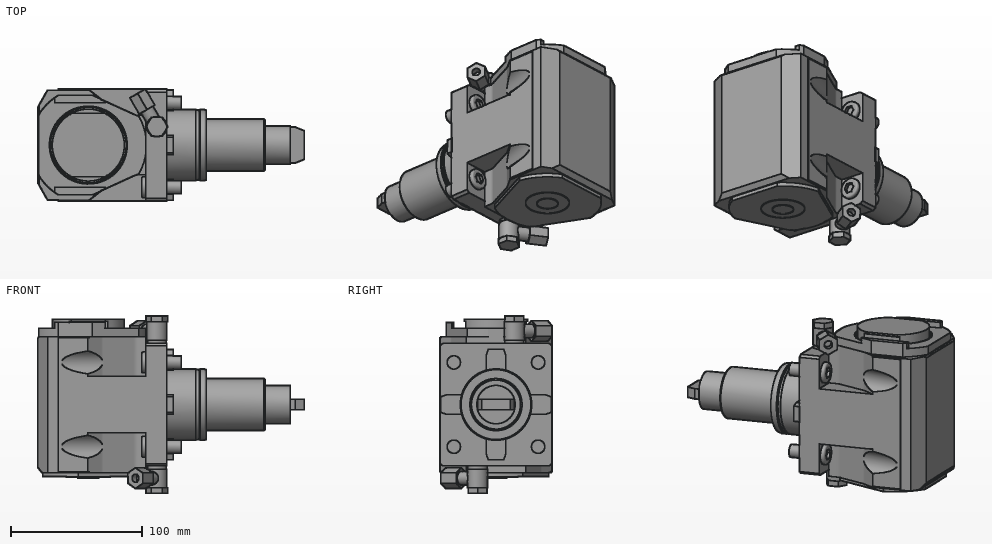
import cadquery as cq
import math


overall_width = 85.5
overall_height = 135.0

front_x = -98.5
bore_x = -59.9
body_half_height = 51.8
pad_thickness = 0.8
pad_y = overall_width / 2
side_y = pad_y - pad_thickness
pad_start_x = -82.6
pad_half_height = 51.0
front_half_width = 28.6
shoulder_x = -91.0
waist_x = -60.3
waist_end_x = -49.3
waist_end_y = 34.3
neck_x = -24.0
neck_y = 22.7
waist_fillet = 7.0
web_half_height = 43.2 / 2
bottom_bevel_depth = 3.0
bottom_bevel_height = 4.0
top_bevel = 1.2

flange_thickness = 16.0
flange_half_height = 46.7
flange_bevel_y = 2.5
flange_bevel_z = 1.8
bolt_offset = 32.0
bolt_head_radius = 16.0 / 2
bolt_head_height = 3.2
bolt_head_fillet = 1.5
bolt_socket = 8.5
bolt_socket_depth = 2.5
bolt_radius = 5.0
bolt_end_x = 11.0
key_half_width = 7.5
key_reach = 42.0
key_height = 4.9
key_tip_half_width = 5.9
key_taper_length = 4.7

groove_radius = 9.7
groove_start_x = -80.2
groove_end_x = -47.7
groove_end_y = 33.7

collar_radius = 27.2
collar_end_x = 30.0
collar_step_x = 22.0
collar_step_depth = 0.5
collar_groove_x = 24.4
collar_groove_width = 0.8
collar_groove_depth = 1.2
collar_bevel = 0.6
collar_bevel_length = 2.0
shank_radius = 19.9
shank_end_x = 75.0
shank_bevel = 1.2
pilot_radius = 14.6
pilot_end_x = 94.0
tang_end_x = 104.5
tang_half_thickness = 4.0
tang_straight_x = 97.5
tang_half_width = 13.8
tang_tip_half_width = 11.0

cover_radius = 44.3
cover_front_x = -97.6
cover_half_width = 38.0
cover_overhang = 0.2
cover_top_z = 58.3
lug_top_z = 62.5
lug_inner_y = 32.3
lug_front_x = -85.5
lug_back_x = -47.0
ring_outer_radius = 29.6
ring_depth = 1.6
ring_bevel = 0.8
boss_radius = 27.5
boss_top_z = 65.0
boss_lip_z = 63.3
boss_half_width = 24.2
boss_waist_half_width = 23.1
bottom_cover_radius = 41.0
bottom_cover_front_x = -94.5
bottom_cover_z = -54.8
bottom_cover_inset = 2.5
disc_radius = 16.6
disc_thickness = 0.6
hub_radius = 8.1
hub_thickness = 1.2

fitting_x = -7.7
fitting_y = 14.0
fitting_radius = 7.7
fitting_thread_radius = 7.3
fitting_thread_z = 49.1
fitting_cap_z = 63.1
fitting_top_z = overall_height / 2
fitting_cap_corners = 16.6
outlet_z = 56.0
top_outlet_angle = 120
bottom_outlet_angle = 124
outlet_radius = 5.3
nut_start = 15.0
nut_end = 29.2
nut_corners = 15.8
nut_hole_radius = 3.0
nut_hole_depth = 6.0


def box(x0, x1, y0, y1, z0, z1):
    return cq.Workplane("XY").box(x1 - x0, y1 - y0, z1 - z0, centered=False).translate((x0, y0, z0))


def rod(radius, x0, x1, y=0, z=0):
    return cq.Workplane("YZ", origin=(x0, y, z)).circle(radius).extrude(x1 - x0)


def disc(radius, z0, z1):
    return cq.Workplane("XY", origin=(bore_x, 0, z0)).circle(radius).extrude(z1 - z0)


def prism(half_outline, z0, z1):
    """Extrude an outline symmetric about Y = 0, given by its +Y points."""
    mirrored = [(x, -y) for x, y in reversed(half_outline)]
    return cq.Workplane("XY", origin=(0, 0, z0)).polyline(half_outline + mirrored).close().extrude(z1 - z0)


def housing_prism(front, half_height):
    """Prism over the given front points, with a waist that narrows to the flange in rounded steps."""
    tail = [(waist_end_x, waist_end_y), (neck_x, neck_y), (-flange_thickness, neck_y)]
    rounded = cq.selectors.BoxSelector(
        (waist_end_x - waist_fillet, -pad_y, -body_half_height),
        (neck_x + waist_fillet, pad_y, body_half_height),
    )
    return prism(front + tail, -half_height, half_height).edges("|Z").edges(rounded).fillet(waist_fillet)


def front_edge_cut(level, depth, height):
    """Wedge that bevels the upper (level 1) or lower (level -1) edge of the front face."""
    edge_z = level * body_half_height
    wedge = [(front_x, edge_z - level * height), (front_x + depth, edge_z), (front_x, edge_z)]
    return cq.Workplane("XZ", origin=(0, pad_y, 0)).polyline(wedge).close().extrude(2 * pad_y)


def make_housing():
    waist_run = (waist_end_x - waist_x) / (pad_y - waist_end_y)
    side_end_x = waist_x + waist_run * (pad_y - side_y)
    core_front = [(front_x, front_half_width), (shoulder_x, side_y), (side_end_x, side_y)]
    core = housing_prism(core_front, body_half_height)
    pad = housing_prism([(pad_start_x, pad_y), (waist_x, pad_y)], pad_half_height)
    web = box(waist_x, -flange_thickness, -pad_y, pad_y, -web_half_height, web_half_height)
    housing = core.union(pad).union(web)

    bottom_cut = front_edge_cut(-1, bottom_bevel_depth, bottom_bevel_height)
    top_cut = front_edge_cut(1, top_bevel, top_bevel)
    return housing.cut(bottom_cut).cut(top_cut)


def make_access_groove(side, z):
    """Slanted cylinder whose deepest line runs from the side face into the waist."""
    run = groove_end_x - groove_start_x
    drop = pad_y - groove_end_y
    length = math.hypot(run, drop)
    along = (run / length, -side * drop / length)
    outward = (drop / length, side * run / length)
    start = (
        groove_start_x + groove_radius * outward[0] - length * along[0],
        side * pad_y + groove_radius * outward[1] - length * along[1],
        z,
    )
    cutter = cq.Solid.makeCylinder(groove_radius, 3 * length, cq.Vector(*start), cq.Vector(*along, 0))
    return cq.Workplane(cutter)


def make_flange():
    straight_y = pad_y - flange_bevel_y
    straight_z = flange_half_height - flange_bevel_z
    return (
        cq.Workplane("YZ", origin=(-flange_thickness, 0, 0))
        .polyline([
            (-pad_y, -straight_z), (-straight_y, -flange_half_height),
            (straight_y, -flange_half_height), (pad_y, -straight_z),
            (pad_y, straight_z), (straight_y, flange_half_height),
            (-straight_y, flange_half_height), (-pad_y, straight_z),
        ])
        .close()
        .extrude(flange_thickness)
    )


def make_bolt(y, z):
    head_x = -flange_thickness - bolt_head_height
    head = rod(bolt_head_radius, head_x, -flange_thickness, y, z).faces("<X").fillet(bolt_head_fillet)
    socket = cq.Workplane("YZ", origin=(head_x, y, z)).polygon(6, bolt_socket).extrude(bolt_socket_depth)
    return head.cut(socket).union(rod(bolt_radius, -flange_thickness, bolt_end_x, y, z))


def make_keys():
    """Four driving keys with tapered tips, set crosswise around the collar."""
    taper_y = key_reach - key_taper_length
    bar = (
        cq.Workplane("YZ")
        .polyline([
            (-taper_y, -key_half_width), (taper_y, -key_half_width),
            (key_reach, -key_tip_half_width), (key_reach, key_tip_half_width),
            (taper_y, key_half_width), (-taper_y, key_half_width),
            (-key_reach, key_tip_half_width), (-key_reach, -key_tip_half_width),
        ])
        .close()
        .extrude(key_height)
    )
    return bar.union(bar.rotate((0, 0, 0), (1, 0, 0), 90))


def make_shank():
    step_radius = collar_radius - collar_step_depth
    groove_floor = collar_radius - collar_groove_depth
    groove_far_x = collar_groove_x + collar_groove_width
    profile = [
        (0, 0), (0, collar_radius),
        (collar_step_x, collar_radius), (collar_step_x, step_radius),
        (collar_groove_x, step_radius), (collar_groove_x, groove_floor),
        (groove_far_x, groove_floor), (groove_far_x, collar_radius),
        (collar_end_x - collar_bevel_length, collar_radius), (collar_end_x, collar_radius - collar_bevel),
        (collar_end_x, shank_radius),
        (shank_end_x - shank_bevel, shank_radius), (shank_end_x, shank_radius - shank_bevel),
        (shank_end_x, pilot_radius), (pilot_end_x, pilot_radius), (pilot_end_x, 0),
    ]
    shank = cq.Workplane("XY").polyline(profile).close().revolve(360, (0, 0, 0), (1, 0, 0))
    tang_outline = [
        (pilot_end_x, tang_half_width), (tang_straight_x, tang_half_width),
        (tang_end_x, tang_tip_half_width),
    ]
    return shank.union(prism(tang_outline, -tang_half_thickness, tang_half_thickness))


def cover_plate(radius, plate_front_x, half_width, overhang, z0, z1):
    """Disc around the bore, trimmed at the front, the sides and parallel to the housing waist."""
    slope = (waist_end_y - neck_y) / (waist_end_x - neck_x)
    line_y = waist_end_y + overhang
    taper_x = waist_end_x + (half_width - line_y) / slope
    end_y = line_y + slope * (-flange_thickness - waist_end_x)
    trim = [(plate_front_x, half_width), (taper_x, half_width), (-flange_thickness, end_y)]
    return disc(radius, z0, z1).intersect(prism(trim, z0, z1))


def cover_slab(z0, z1):
    return cover_plate(cover_radius, cover_front_x, cover_half_width, cover_overhang, z0, z1)


def make_top_cover():
    lugs = cover_slab(cover_top_z, lug_top_z)
    lugs = lugs.intersect(box(lug_front_x, lug_back_x, -pad_y, pad_y, cover_top_z, lug_top_z))
    lugs = lugs.cut(box(lug_front_x, lug_back_x, -lug_inner_y, lug_inner_y, cover_top_z, lug_top_z))

    recess_floor_z = cover_top_z - ring_depth
    recess_radius = ring_outer_radius - ring_bevel
    recess = disc(recess_radius, recess_floor_z, cover_top_z)
    mouth_base = cq.Vector(bore_x, 0, cover_top_z - ring_bevel)
    recess_mouth = cq.Solid.makeCone(recess_radius, ring_outer_radius, ring_bevel, mouth_base)
    cover = cover_slab(body_half_height, cover_top_z).cut(recess).cut(cq.Workplane(recess_mouth)).union(lugs)

    base = disc(boss_radius, recess_floor_z, cover_top_z)
    waist = disc(boss_radius, cover_top_z, boss_lip_z).intersect(
        box(front_x, 0, -boss_waist_half_width, boss_waist_half_width, cover_top_z, boss_lip_z)
    )
    lip = disc(boss_radius, boss_lip_z, boss_top_z).intersect(
        box(front_x, 0, -boss_half_width, boss_half_width, boss_lip_z, boss_top_z)
    )
    return cover.union(base).union(waist).union(lip)


def make_bottom_cover():
    cover = cover_plate(
        bottom_cover_radius, bottom_cover_front_x, bottom_cover_radius, -bottom_cover_inset,
        bottom_cover_z, -body_half_height,
    )
    return (
        cover
        .union(disc(disc_radius, bottom_cover_z - disc_thickness, bottom_cover_z))
        .union(disc(hub_radius, bottom_cover_z - hub_thickness, bottom_cover_z))
    )


def make_fitting(outlet_angle):
    """Coolant elbow on the top edge of the flange, with a hexagonal cap and an outlet nut."""
    def column(z):
        return cq.Workplane("XY", origin=(fitting_x, fitting_y, z))

    thread_length = fitting_thread_z - flange_half_height
    thread = column(flange_half_height).circle(fitting_thread_radius).extrude(thread_length)
    post = column(fitting_thread_z).circle(fitting_radius).extrude(fitting_cap_z - fitting_thread_z)
    cap = column(fitting_cap_z).polygon(6, fitting_cap_corners).extrude(fitting_top_z - fitting_cap_z)

    angle = math.radians(outlet_angle)
    along = cq.Vector(math.cos(angle), math.sin(angle), 0)
    center = cq.Vector(fitting_x, fitting_y, outlet_z)

    def outlet_plane(distance):
        return cq.Workplane(cq.Plane(origin=center + along * distance, xDir=(0, 0, 1), normal=along))

    neck = outlet_plane(0).circle(outlet_radius).extrude(nut_start)
    nut = outlet_plane(nut_start).polygon(6, nut_corners).extrude(nut_end - nut_start)
    hole = outlet_plane(nut_end - nut_hole_depth).circle(nut_hole_radius).extrude(nut_hole_depth)
    return thread.union(post).union(cap).union(neck).union(nut).cut(hole)


result = make_housing()
for side in (1, -1):
    for level in (1, -1):
        result = result.cut(make_access_groove(side, level * bolt_offset))

result = result.union(make_flange()).union(make_keys()).union(make_shank())
for side in (1, -1):
    for level in (1, -1):
        result = result.union(make_bolt(side * bolt_offset, level * bolt_offset))

result = result.union(make_top_cover()).union(make_bottom_cover())

top_fitting = make_fitting(top_outlet_angle)
bottom_fitting = make_fitting(bottom_outlet_angle).rotate((0, 0, 0), (1, 0, 0), 180)
result = result.union(top_fitting).union(bottom_fitting)